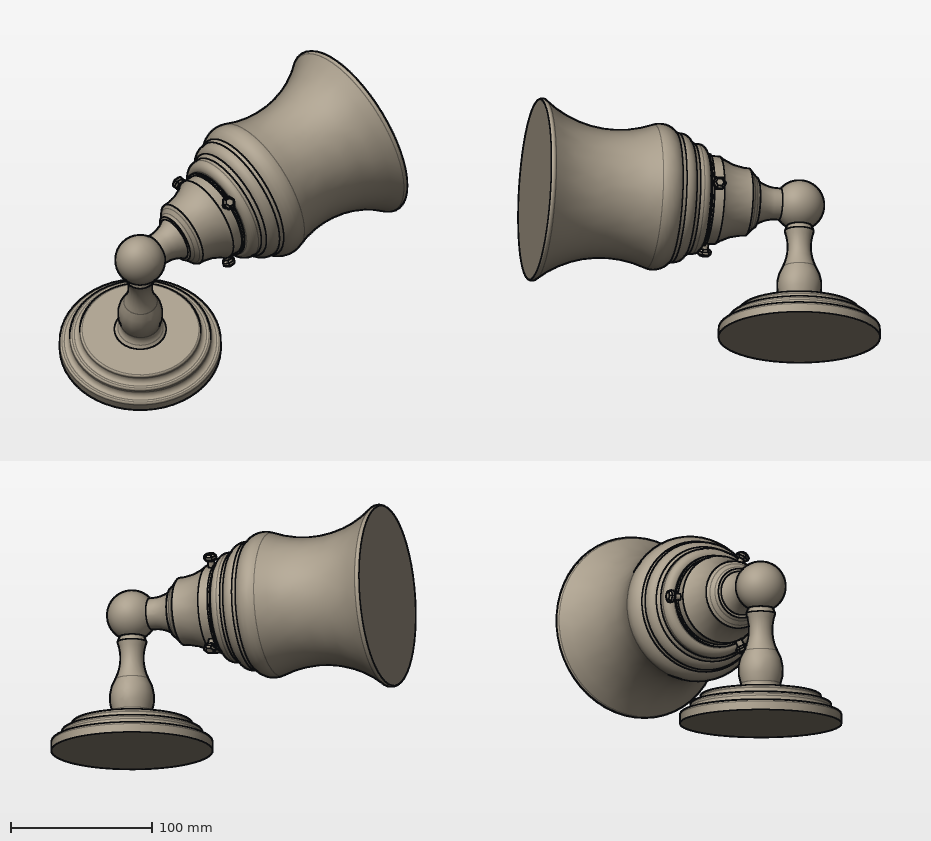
import cadquery as cq


total_height = 163.4
rim_diameter = 129.6
rim_radius = rim_diameter / 2
arm_height = total_height - rim_radius
base_radius = 57.3
ball_radius = 17.8

base_height = 20.5
rim_disc_top = 7.7
middle_disc_top = 14.6
middle_disc_radius = 50.0
top_disc_radius = 43.0
edge_rounding = 1.5
cove_radius = 4.0

foot_radius = 18.3
foot_bevel_radius = 16.0
foot_bevel_z = 22.5
bulb_start_radius = 14.1
bulb_start_z = 28.8
bulb_radius = 15.9
bulb_z = 38.7
bulb_end_radius = 12.0
bulb_end_z = 52.0
stem_waist_radius = 8.5
stem_waist_z = 65.0
collar_radius = 10.5
collar_z = 79.0
stem_top_radius = 9.0
stem_top_z = 82.5

neck_radius = 11.2
neck_start_y = 13.6
neck_end_radius = 15.5
neck_end_y = 30.7
cup_radius = 24.0
cup_y = 37.7

fitter_radius = 31.2
fitter_y = 59.5
lip_radius = 32.7
lip_y = 67.0
lip_thickness = 1.5

shade_y = 69.7
lower_step_radius = 39.2
lower_step_rounding = 6.0
lower_step_end_y = 78.3
upper_step_start_radius = 41.1
upper_step_start_y = 81.3
upper_step_radius = 45.9
upper_step_end_y = 89.5
shoulder_start_radius = 46.8
shoulder_start_y = 92.5
shoulder_radius = 51.8
shoulder_y = 101.6
bell_start_radius = 51.0
bell_start_y = 107.5
bell_waist_radius = 45.5
bell_waist_y = 135.8
rim_edge_radius = 64.0
rim_y = 190.5
rim_thickness = 3.5

screw_count = 3
screw_y = 64.7
shank_radius = 2.35
shank_embedding = 2.5
head_width = 9.5
head_thickness = 5.0
head_chamfer = 1.5
head_outer_reach = 40.7


def make_base():
    """Round plate stepping up through two coved discs to a flat top."""
    round_edge = (-edge_rounding, edge_rounding)
    cove = (-cove_radius, cove_radius)
    profile = (
        cq.Workplane("XZ")
        .lineTo(base_radius, 0)
        .lineTo(base_radius, rim_disc_top - edge_rounding)
        .tangentArcPoint(round_edge)
    )
    lower_top = rim_disc_top
    for radius, top in ((middle_disc_radius, middle_disc_top), (top_disc_radius, base_height)):
        profile = (
            profile.lineTo(radius + cove_radius, lower_top)
            .tangentArcPoint(cove)
            .lineTo(radius, top - edge_rounding)
            .tangentArcPoint(round_edge)
        )
        lower_top = top
    return profile.lineTo(0, base_height).close().revolve(360, (0, 0), (0, 1))


def make_stem():
    """Turned baluster from the base up into the ball."""
    profile = (
        cq.Workplane("XZ")
        .moveTo(0, base_height / 2)
        .lineTo(foot_radius, base_height / 2)
        .lineTo(foot_radius, base_height)
        .lineTo(foot_bevel_radius, foot_bevel_z)
        .threePointArc((14.5, 25.3), (bulb_start_radius, bulb_start_z))
        .threePointArc((bulb_radius, bulb_z), (bulb_end_radius, bulb_end_z))
        .threePointArc((stem_waist_radius, stem_waist_z), (collar_radius, collar_z))
        .lineTo(stem_top_radius, stem_top_z)
        .lineTo(0, arm_height)
        .close()
    )
    return profile.revolve(360, (0, 0), (0, 1))


def make_shade():
    """Neck, cup, fitter ring and bell shade, turned about the +Y axis."""
    profile = (
        cq.Workplane("XY", origin=(0, 0, arm_height))
        .lineTo(neck_radius, 0)
        .lineTo(neck_radius, neck_start_y)
        .threePointArc((12.1, 23.0), (neck_end_radius, neck_end_y))
        .lineTo(17.5, 31.2)
        .lineTo(19.3, 33.5)
        .lineTo(22.0, 36.0)
        .lineTo(cup_radius, cup_y)
        .threePointArc((25.8, 49.0), (fitter_radius, fitter_y))
        .lineTo(fitter_radius, lip_y)
        .lineTo(lip_radius, lip_y)
        .lineTo(lip_radius, lip_y + lip_thickness)
        .lineTo(fitter_radius, lip_y + lip_thickness)
        .lineTo(fitter_radius, shade_y)
        .lineTo(lower_step_radius - lower_step_rounding, shade_y)
        .tangentArcPoint((lower_step_rounding, lower_step_rounding))
        .lineTo(lower_step_radius, lower_step_end_y)
        .lineTo(upper_step_start_radius, upper_step_start_y)
        .threePointArc((44.9, 84.8), (upper_step_radius, upper_step_end_y))
        .lineTo(shoulder_start_radius, shoulder_start_y)
        .threePointArc((shoulder_radius, shoulder_y), (bell_start_radius, bell_start_y))
        .threePointArc((bell_waist_radius, bell_waist_y), (rim_edge_radius, rim_y - rim_thickness))
        .threePointArc((rim_radius, rim_y - rim_thickness / 2), (rim_edge_radius, rim_y))
        .lineTo(0, rim_y)
        .close()
    )
    return profile.revolve(360, (0, 0), (0, 1))


def make_thumbscrew():
    """Hex-headed screw pointing along -X from the shade axis."""
    shank_start = fitter_radius - shank_embedding
    shank_length = head_outer_reach - head_thickness / 2 - shank_start
    shank = (
        cq.Workplane("YZ", origin=(-shank_start, screw_y, arm_height))
        .circle(shank_radius)
        .extrude(-shank_length)
    )
    head = (
        cq.Workplane("YZ", origin=(-head_outer_reach, screw_y, arm_height))
        .polygon(6, head_width)
        .extrude(head_thickness)
        .faces("<X or >X")
        .chamfer(head_chamfer)
    )
    return shank.union(head)


ball = cq.Workplane("XY", origin=(0, 0, arm_height)).sphere(ball_radius)

result = make_base().union(make_stem()).union(ball).union(make_shade())

thumbscrew = make_thumbscrew()
for index in range(screw_count):
    angle = index * 360 / screw_count
    result = result.union(thumbscrew.rotate((0, 0, arm_height), (0, 1, arm_height), angle))